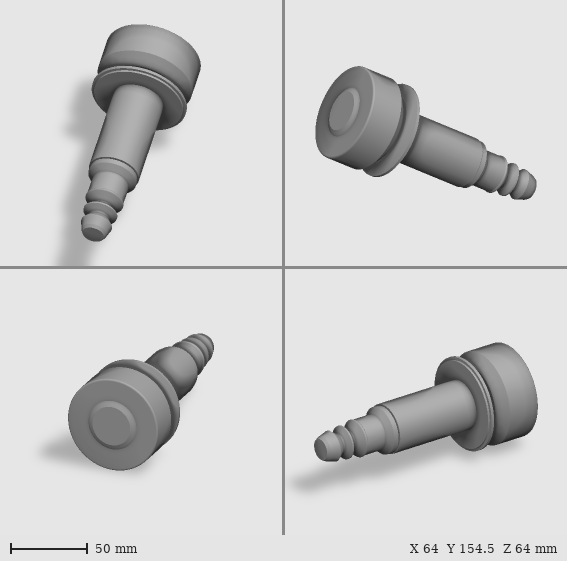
import cadquery as cq

TOTAL_LENGTH = 154.5
TIP_Y = -TOTAL_LENGTH / 2

HEAD_RADIUS = 64.0 / 2
CROWN_BASE_RADIUS = 34.0 / 2
CROWN_TOP_RADIUS = 26.9 / 2
HEAD_NECK_RADIUS = 28.3 / 2
FLANGE_BACK_RADIUS = 24.0
LIP_RADIUS = 60.0 / 2
SHANK_RADIUS = 34.0 / 2
GROOVE_RADIUS = 19.6 / 2
COLLAR_RADIUS = 32.5 / 2
SPIGOT_RADIUS = 24.5 / 2
BEAD_RADIUS = 25.6 / 2
BARB_NECK_RADIUS = 14.5 / 2
RING_RADIUS = 22.7 / 2
TIP_RADIUS = 21.0 / 2
TIP_BEVEL_RADIUS = 17.0 / 2
TIP_END_RADIUS = 14.5 / 2

TIP_BEVEL = 2.2
TIP_SHOULDER = 8.8
FRONT_NECK_START = 13.3
FRONT_NECK_END = 14.7
RING_START = 17.6
RING_END = 18.7
REAR_NECK_START = 22.0
REAR_NECK_END = 23.2
BEAD_START = 27.5
BEAD_END = 29.5
SPIGOT_END = 43.5
COLLAR_CONE_END = 47.7
COLLAR_END = 51.1
SHANK_START = 51.9
LIP_FRONT = 113.2
FLANGE_RIM_START = 114.6
FLANGE_RIM_END = 116.6
FLANGE_BACK = 119.6
HEAD_FRONT = 122.7
HEAD_BACK = 152.5

HEAD_CHAMFER = 7.0
HEAD_BACK_ROUND = 1.2

NOTCH_RADIUS = 1.0
NOTCH_DEPTH = 0.3
NOTCH_Z = -0.5


def revolve(points):
    """Turn a closed (radius, distance from tip) outline about the Y axis."""
    outline = cq.Workplane("XY", origin=(0, TIP_Y, 0)).polyline(points).close()
    return outline.revolve(360, (0, 0, 0), (0, 1, 0))


def make_nozzle():
    """Barbed nozzle with its spigot, collar and the groove behind the collar."""
    return revolve([
        (0, 0),
        (TIP_END_RADIUS, 0),
        (TIP_BEVEL_RADIUS, TIP_BEVEL),
        (TIP_RADIUS, TIP_SHOULDER),
        (BARB_NECK_RADIUS, FRONT_NECK_START),
        (BARB_NECK_RADIUS, FRONT_NECK_END),
        (RING_RADIUS, RING_START),
        (RING_RADIUS, RING_END),
        (BARB_NECK_RADIUS, REAR_NECK_START),
        (BARB_NECK_RADIUS, REAR_NECK_END),
        (SPIGOT_RADIUS, BEAD_START),
        (SPIGOT_RADIUS, BEAD_END),
        (SPIGOT_RADIUS, SPIGOT_END),
        (COLLAR_RADIUS, COLLAR_CONE_END),
        (COLLAR_RADIUS, COLLAR_END),
        (GROOVE_RADIUS, COLLAR_END),
        (GROOVE_RADIUS, SHANK_START),
        (0, SHANK_START),
    ])


def make_bead():
    """Rounded bead at the front end of the spigot."""
    bead_middle = (BEAD_START + BEAD_END) / 2
    outline = (
        cq.Workplane("XY", origin=(0, TIP_Y, 0))
        .moveTo(0, BEAD_START)
        .lineTo(SPIGOT_RADIUS, BEAD_START)
        .threePointArc((BEAD_RADIUS, bead_middle), (SPIGOT_RADIUS, BEAD_END))
        .lineTo(0, BEAD_END)
        .close()
    )
    return outline.revolve(360, (0, 0, 0), (0, 1, 0))


def make_collar_notch():
    """Cutter for the collar notch, a short pin along X centred on the back edge."""
    notch_floor = (-COLLAR_RADIUS + NOTCH_DEPTH, TIP_Y + COLLAR_END, NOTCH_Z)
    return cq.Workplane("YZ", origin=notch_floor).circle(NOTCH_RADIUS).extrude(-2 * NOTCH_DEPTH)


def make_shank_and_flange():
    """Plain shank carrying a flange with a front lip and a conical back."""
    return revolve([
        (0, SHANK_START),
        (SHANK_RADIUS, SHANK_START),
        (SHANK_RADIUS, LIP_FRONT),
        (LIP_RADIUS, LIP_FRONT),
        (LIP_RADIUS, FLANGE_RIM_START),
        (HEAD_RADIUS, FLANGE_RIM_START),
        (HEAD_RADIUS, FLANGE_RIM_END),
        (FLANGE_BACK_RADIUS, FLANGE_BACK),
        (HEAD_NECK_RADIUS, FLANGE_BACK),
        (HEAD_NECK_RADIUS, HEAD_FRONT),
        (0, HEAD_FRONT),
    ])


def make_head():
    """Large knob with a front chamfer, a rounded back edge and a raised crown."""
    knob = revolve([
        (0, HEAD_FRONT),
        (HEAD_RADIUS - HEAD_CHAMFER, HEAD_FRONT),
        (HEAD_RADIUS, HEAD_FRONT + HEAD_CHAMFER),
        (HEAD_RADIUS, HEAD_BACK),
        (0, HEAD_BACK),
    ])
    knob = knob.edges(">Y").fillet(HEAD_BACK_ROUND)
    crown = revolve([
        (0, HEAD_BACK),
        (CROWN_BASE_RADIUS, HEAD_BACK),
        (CROWN_TOP_RADIUS, TOTAL_LENGTH),
        (0, TOTAL_LENGTH),
    ])
    return knob.union(crown)


nozzle = make_nozzle().union(make_bead()).cut(make_collar_notch())
result = nozzle.union(make_shank_and_flange()).union(make_head())